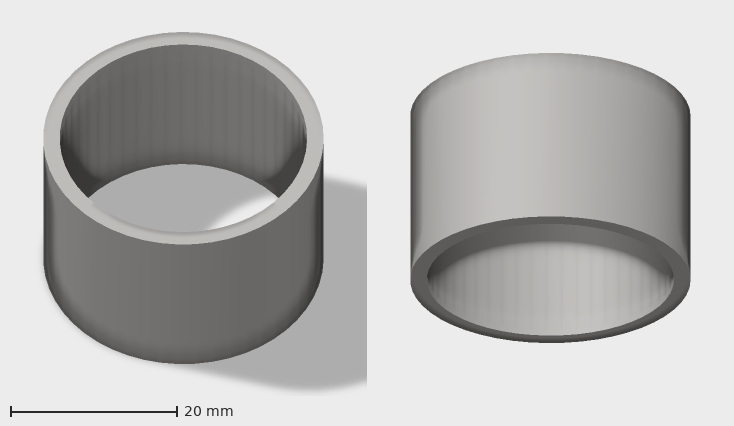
import cadquery as cq

outer_diameter = 33.7
wall_thickness = 2.0
height = 22.0

inner_diameter = outer_diameter - 2 * wall_thickness

result = (
    cq.Workplane("XY")
    .circle(outer_diameter / 2)
    .circle(inner_diameter / 2)
    .extrude(height)
)